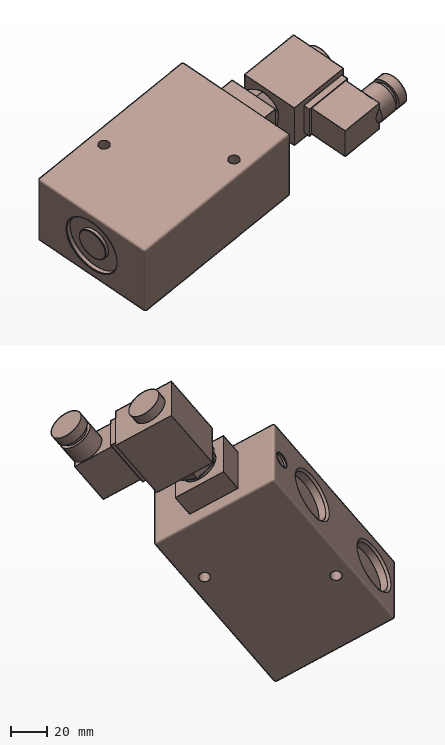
import cadquery as cq
import math


BODY_WIDTH = 80.0
BODY_LENGTH = 118.0
BODY_HEIGHT = 50.0
BODY_EDGE = 1.5

MOUNT_DIAMETER = 6.5
MOUNT_X = 30.0
MOUNT_FRONT_Y = 43.0
MOUNT_SPACING_Y = 40.0

PORT_DIAMETER = 30.2
PORT_MOUTH_DIAMETER = 33.0
PORT_DEPTH = 6.0
PORT_FRONT_Y = 21.0
PORT_SPACING_Y = 60.0
PILOT_DIAMETER = 9.0
PILOT_MOUTH_DIAMETER = 9.9
PILOT_DEPTH = 1.5
PILOT_Y = 110.3

RECESS_MOUTH_DIAMETER = 38.0
RECESS_DEPTH = 3.0
PLUG_BOSS_DIAMETER = 20.0
PLUG_BOSS_HEIGHT = 2.4
PLUG_CHAMFER = 0.4

ADAPTER_WIDTH = 32.0
ADAPTER_LENGTH = 14.0
ADAPTER_HEIGHT = 32.0
COLLAR_DIAMETER = 22.0
COLLAR_LENGTH = 1.8
NUT_ACROSS_FLATS = 22.0
NUT_LENGTH = 6.3
NUT_BEVEL = 1.0
COIL_LEFT_X = -14.2
COIL_WIDTH = 37.0
COIL_LENGTH = 40.0
COIL_HEIGHT = 30.5
KNOB_DIAMETER = 20.0
KNOB_LENGTH = 6.0

TOTAL_LENGTH = 197.7
GASKET_WIDTH = 4.2
GASKET_LENGTH = 31.0
GASKET_HEIGHT = 22.0
GASKET_SETBACK = 1.2
HOUSING_WIDTH = 25.0
HOUSING_LENGTH = 27.9
HOUSING_HEIGHT = 21.0
HOUSING_SETBACK = 2.5
GLAND_DIAMETER = 20.0
GLAND_X = 43.7
GLAND_CAP_LENGTH = 6.1
GLAND_GROOVE_DIAMETER = 16.0
GLAND_GROOVE_LENGTH = 2.5
GLAND_TAPER_LENGTH = 3.0
GLAND_TAPER_DIAMETER = 16.0

COLLAR_Y = BODY_LENGTH + ADAPTER_LENGTH
NUT_Y = COLLAR_Y + COLLAR_LENGTH
COIL_Y = NUT_Y + NUT_LENGTH
COIL_END_Y = COIL_Y + COIL_LENGTH
HOUSING_END_Y = COIL_END_Y - HOUSING_SETBACK


def box_from(x_start, y_start, width, length, height):
    """Box centred on Z, growing to +X and +Y from the given corner."""
    box = cq.Workplane("XY").box(width, length, height, centered=(False, False, True))
    return box.translate((x_start, y_start, 0))


def cylinder_y(x, y_start, diameter, length):
    """Cylinder whose axis runs along +Y."""
    plane = cq.Workplane("XZ", origin=(x, y_start, 0))
    return plane.circle(diameter / 2).extrude(-length)


def turned_y(profile):
    """Solid turned about the Y axis from (radius, y) points."""
    return cq.Workplane("XY").polyline(profile).close().revolve(360, (0, 0, 0), (0, 1, 0))


def blind_bore(diameter, mouth_diameter, depth):
    """Cutter for a blind bore with a 45 degree mouth, running along +Y from the origin."""
    radius = diameter / 2
    mouth_radius = mouth_diameter / 2
    chamfer = mouth_radius - radius
    return turned_y([(0, 0), (mouth_radius, 0), (radius, chamfer), (radius, depth), (0, depth)])


def side_port(y, diameter, mouth_diameter, depth):
    """Cutter for a blind port entering the -X side."""
    cutter = blind_bore(diameter, mouth_diameter, depth).rotate((0, 0, 0), (0, 0, 1), -90)
    return cutter.translate((-BODY_WIDTH / 2, y, 0))


def make_body():
    body = box_from(-BODY_WIDTH / 2, 0, BODY_WIDTH, BODY_LENGTH, BODY_HEIGHT)
    body = body.edges().fillet(BODY_EDGE)

    mount_points = [(-MOUNT_X, MOUNT_FRONT_Y), (MOUNT_X, MOUNT_FRONT_Y + MOUNT_SPACING_Y)]
    mounts = cq.Workplane("XY").pushPoints(mount_points).circle(MOUNT_DIAMETER / 2)
    body = body.cut(mounts.extrude(BODY_HEIGHT, both=True))

    for y in (PORT_FRONT_Y, PORT_FRONT_Y + PORT_SPACING_Y):
        body = body.cut(side_port(y, PORT_DIAMETER, PORT_MOUTH_DIAMETER, PORT_DEPTH))
    body = body.cut(side_port(PILOT_Y, PILOT_DIAMETER, PILOT_MOUTH_DIAMETER, PILOT_DEPTH))

    recess_diameter = RECESS_MOUTH_DIAMETER - 2 * PLUG_CHAMFER
    body = body.cut(blind_bore(recess_diameter, RECESS_MOUTH_DIAMETER, RECESS_DEPTH))

    boss_y = RECESS_DEPTH - PLUG_BOSS_HEIGHT
    boss = cylinder_y(0, boss_y, PLUG_BOSS_DIAMETER, PLUG_BOSS_HEIGHT)
    return body.union(boss.faces("<Y").chamfer(PLUG_CHAMFER))


def make_nut():
    """Hexagon nut with two corners along Z, its corners bevelled at the coil end."""
    nut = cq.Workplane("XZ").polygon(6, NUT_ACROSS_FLATS, circumscribed=True).extrude(-NUT_LENGTH)
    flat_radius = NUT_ACROSS_FLATS / 2
    corner_radius = flat_radius / math.cos(math.pi / 6)
    bevel_y = NUT_LENGTH - NUT_BEVEL
    envelope = turned_y([
        (0, 0),
        (corner_radius, 0),
        (corner_radius, bevel_y),
        (flat_radius, NUT_LENGTH),
        (0, NUT_LENGTH),
    ])
    return nut.intersect(envelope).translate((0, NUT_Y, 0))


def make_solenoid():
    solenoid = box_from(-ADAPTER_WIDTH / 2, BODY_LENGTH, ADAPTER_WIDTH, ADAPTER_LENGTH, ADAPTER_HEIGHT)
    solenoid = solenoid.union(cylinder_y(0, COLLAR_Y, COLLAR_DIAMETER, COLLAR_LENGTH))

    solenoid = solenoid.union(make_nut())
    solenoid = solenoid.union(box_from(COIL_LEFT_X, COIL_Y, COIL_WIDTH, COIL_LENGTH, COIL_HEIGHT))
    return solenoid.union(cylinder_y(0, COIL_END_Y, KNOB_DIAMETER, KNOB_LENGTH))


def make_connector():
    gasket_x = COIL_LEFT_X + COIL_WIDTH
    gasket_y = COIL_END_Y - GASKET_SETBACK - GASKET_LENGTH
    connector = box_from(gasket_x, gasket_y, GASKET_WIDTH, GASKET_LENGTH, GASKET_HEIGHT)

    housing_y = HOUSING_END_Y - HOUSING_LENGTH
    housing = box_from(gasket_x + GASKET_WIDTH, housing_y, HOUSING_WIDTH, HOUSING_LENGTH, HOUSING_HEIGHT)
    return connector.union(housing)


def make_gland():
    """Turned cable gland, tapered where it sinks into the connector housing."""
    radius = GLAND_DIAMETER / 2
    groove_radius = GLAND_GROOVE_DIAMETER / 2
    groove_end_y = TOTAL_LENGTH - GLAND_CAP_LENGTH
    groove_y = groove_end_y - GLAND_GROOVE_LENGTH
    taper_y = HOUSING_END_Y - GLAND_TAPER_LENGTH
    profile = [
        (0, taper_y),
        (GLAND_TAPER_DIAMETER / 2, taper_y),
        (radius, HOUSING_END_Y),
        (radius, groove_y),
        (groove_radius, groove_y),
        (groove_radius, groove_end_y),
        (radius, groove_end_y),
        (radius, TOTAL_LENGTH),
        (0, TOTAL_LENGTH),
    ]
    return turned_y(profile).translate((GLAND_X, 0, 0))


result = make_body().union(make_solenoid()).union(make_connector()).union(make_gland())